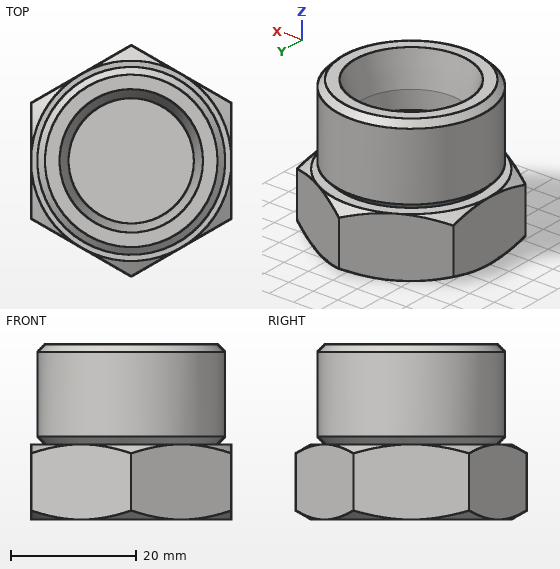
import cadquery as cq
import math

HEX_SIDES = 6
HEX_ACROSS_FLATS = 32.0
HEX_ACROSS_CORNERS = HEX_ACROSS_FLATS / math.cos(math.pi / HEX_SIDES)
HEX_HEIGHT = 12.0
HEX_CHAMFER_ANGLE = 30.0
BEVEL_CLEARANCE = 1.0

TOTAL_HEIGHT = 28.0
SPIGOT_DIAMETER = 30.0
SPIGOT_CHAMFERED_DIAMETER = 27.55
SPIGOT_CHAMFER = (SPIGOT_DIAMETER - SPIGOT_CHAMFERED_DIAMETER) / 2.0

SOCKET_DIAMETER = 20.0
SOCKET_DEPTH = 10.5
MOUTH_DIAMETER = 22.9
MOUTH_HALF_ANGLE = 12.0
MOUTH_DEPTH = (MOUTH_DIAMETER - SOCKET_DIAMETER) / 2.0 / math.tan(math.radians(MOUTH_HALF_ANGLE))


def revolve_about_z(profile):
    """Revolve a closed (radius, z) profile around the Z axis."""
    return cq.Workplane("XZ").polyline(profile).close().revolve(360.0, (0, 0, 0), (0, 1, 0))


def make_hex_head():
    """Hexagon with flats facing +X and -X, its corners bevelled conically at both ends."""
    prism = (
        cq.Workplane("XY")
        .polygon(HEX_SIDES, HEX_ACROSS_CORNERS)
        .extrude(HEX_HEIGHT)
        .rotate((0, 0, 0), (0, 0, 1), 90.0)
    )
    end_radius = HEX_ACROSS_FLATS / 2.0
    outer_radius = HEX_ACROSS_CORNERS / 2.0 + BEVEL_CLEARANCE
    bevel_height = (outer_radius - end_radius) * math.tan(math.radians(HEX_CHAMFER_ANGLE))
    envelope = revolve_about_z([
        (0, 0),
        (end_radius, 0),
        (outer_radius, bevel_height),
        (outer_radius, HEX_HEIGHT - bevel_height),
        (end_radius, HEX_HEIGHT),
        (0, HEX_HEIGHT),
    ])
    return prism.intersect(envelope)


def make_spigot():
    """Cylinder with equal chamfers at its foot and its free end."""
    radius = SPIGOT_DIAMETER / 2.0
    end_radius = SPIGOT_CHAMFERED_DIAMETER / 2.0
    return revolve_about_z([
        (0, HEX_HEIGHT),
        (end_radius, HEX_HEIGHT),
        (radius, HEX_HEIGHT + SPIGOT_CHAMFER),
        (radius, TOTAL_HEIGHT - SPIGOT_CHAMFER),
        (end_radius, TOTAL_HEIGHT),
        (0, TOTAL_HEIGHT),
    ])


def make_socket():
    """Flat-bottomed bore that widens conically towards the free end."""
    floor = TOTAL_HEIGHT - SOCKET_DEPTH
    return revolve_about_z([
        (0, floor),
        (SOCKET_DIAMETER / 2.0, floor),
        (SOCKET_DIAMETER / 2.0, TOTAL_HEIGHT - MOUTH_DEPTH),
        (MOUTH_DIAMETER / 2.0, TOTAL_HEIGHT),
        (0, TOTAL_HEIGHT),
    ])


result = make_hex_head().union(make_spigot()).cut(make_socket())